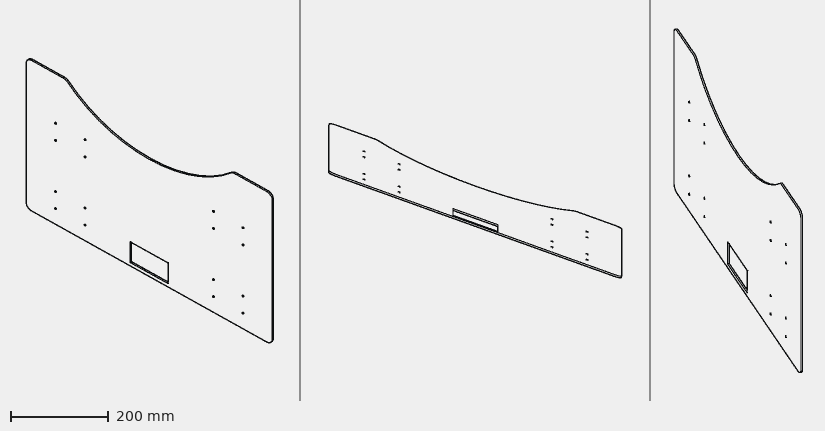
import cadquery as cq

width = 640.0
height = 440.0
thickness = 4.0
corner_radius = 15.0

cutout_radius = 290.0
cutout_depth = 97.0
cutout_corner_radius = 15.0

window_width = 98.5
window_height = 60.0
window_margin = 10.0

hole_diameter = 4.0
group_center_x = 205.5
hole_pitch_x = 77.0
hole_pitch_z = 50.0
group_margins = (70.5, 270.0)

top = height / 2
bottom = -height / 2


def mid_plane():
    """Sketch plane with local axes X and Z, halfway through the plate."""
    return cq.Workplane("XZ")


def make_plate():
    plate = mid_plane().rect(width, height).extrude(thickness / 2, both=True)
    return plate.edges("|Y").fillet(corner_radius)


def cut_top_arc(plate):
    center_z = top - cutout_depth + cutout_radius
    cutter = mid_plane().center(0, center_z).circle(cutout_radius).extrude(thickness, both=True)
    half_chord = (cutout_radius**2 - (cutout_radius - cutout_depth) ** 2) ** 0.5
    plate = plate.cut(cutter)
    for side in (-1, 1):
        corner = cq.selectors.NearestToPointSelector((side * half_chord, 0, top))
        plate = plate.edges("|Y").edges(corner).fillet(cutout_corner_radius)
    return plate


def cut_window(plate):
    center_z = bottom + window_margin + window_height / 2
    cutter = mid_plane().center(0, center_z).rect(window_width, window_height)
    return plate.cut(cutter.extrude(thickness, both=True))


def drill_holes(plate):
    points = [
        (side * group_center_x + i * hole_pitch_x / 2, bottom + margin + j * hole_pitch_z / 2)
        for side in (-1, 1)
        for margin in group_margins
        for i in (-1, 1)
        for j in (-1, 1)
    ]
    cutter = mid_plane().pushPoints(points).circle(hole_diameter / 2)
    cutter = cutter.extrude(thickness, both=True)
    return plate.cut(cutter)


result = drill_holes(cut_window(cut_top_arc(make_plate())))